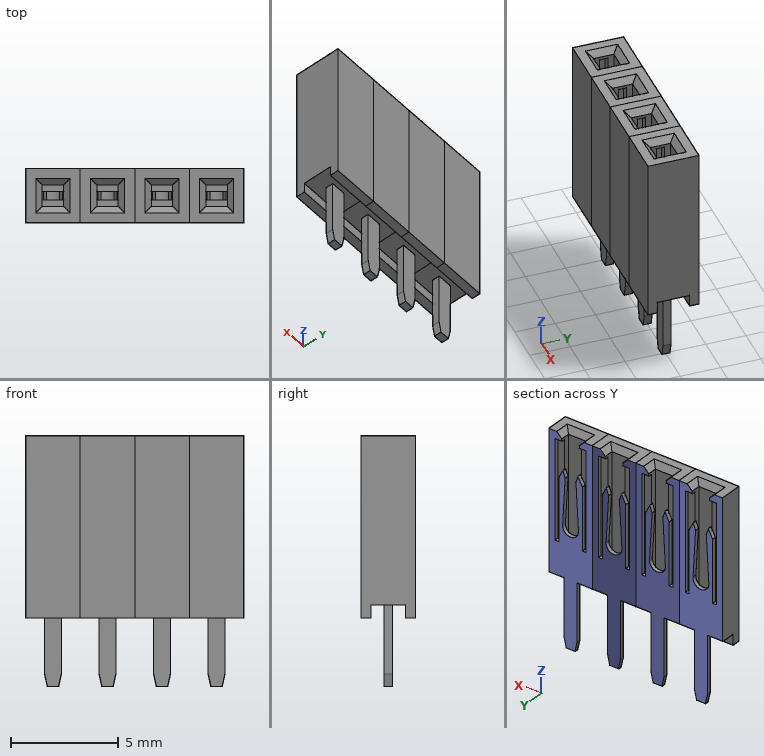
import cadquery as cq
import math


cell_count = 4
pitch = 2.54
block_height = 8.5
channel_width = 1.6
channel_depth = 0.6

socket_width = 1.0
lead_in = 0.3
mouth_width = socket_width + 2 * lead_in
socket_floor = 2.5
slot_half_length = 0.9
slot_drop = 0.15
slot_top = block_height - lead_in - slot_drop

contact_thickness = 0.4
fork_half_width = 0.7
fork_tip_x = 0.44
fork_tip_z = 6.5
throat_half_gap = 0.3
tip_inner_slope = math.radians(70)
tip_outer_slope = math.radians(62)
throat_z = fork_tip_z - (fork_tip_x - throat_half_gap) * math.tan(tip_inner_slope)
shoulder_z = fork_tip_z - (fork_half_width - fork_tip_x) * math.tan(tip_outer_slope)
root_radius = 0.45
root_web_height = 0.5
root_center_z = socket_floor + root_web_height + root_radius

pin_width = 0.8
pin_tip_width = 0.53
pin_length = 3.2
pin_taper_length = 0.6


def box(size_x, size_y, bottom, top):
    """Box centred on the cell axis between two heights."""
    return cq.Workplane("XY").workplane(offset=bottom).rect(size_x, size_y).extrude(top - bottom)


def make_block():
    block = box(pitch, pitch, 0, block_height)
    channel = box(pitch, channel_width, 0, channel_depth)
    socket = box(socket_width, socket_width, socket_floor, block_height)
    mouth = (
        cq.Workplane("XY").workplane(offset=block_height)
        .rect(mouth_width, mouth_width)
        .workplane(offset=-lead_in)
        .rect(socket_width, socket_width)
        .loft(ruled=True)
    )
    slot = box(2 * slot_half_length, contact_thickness, socket_floor, slot_top)
    return block.cut(channel).cut(socket).cut(mouth).cut(slot)


def make_fork():
    """Two tines joined by a round root, standing on the socket floor."""
    return (
        cq.Workplane("XZ")
        .moveTo(-fork_half_width, socket_floor)
        .lineTo(-fork_half_width, shoulder_z)
        .lineTo(-fork_tip_x, fork_tip_z)
        .lineTo(-throat_half_gap, throat_z)
        .lineTo(-root_radius, root_center_z)
        .threePointArc((0, root_center_z - root_radius), (root_radius, root_center_z))
        .lineTo(throat_half_gap, throat_z)
        .lineTo(fork_tip_x, fork_tip_z)
        .lineTo(fork_half_width, shoulder_z)
        .lineTo(fork_half_width, socket_floor)
        .close()
        .extrude(contact_thickness / 2, both=True)
    )


def make_pin():
    """Flat pin from the channel roof down to its tapered tip."""
    taper_start = -pin_length + pin_taper_length
    return (
        cq.Workplane("XZ")
        .moveTo(-pin_width / 2, channel_depth)
        .lineTo(-pin_width / 2, taper_start)
        .lineTo(-pin_tip_width / 2, -pin_length)
        .lineTo(pin_tip_width / 2, -pin_length)
        .lineTo(pin_width / 2, taper_start)
        .lineTo(pin_width / 2, channel_depth)
        .close()
        .extrude(contact_thickness / 2, both=True)
    )


def make_cell(center_x):
    cell = make_block().union(make_fork()).union(make_pin())
    return cell.translate((center_x, 0, 0))


first_cell_x = -(cell_count - 1) * pitch / 2
cells = [make_cell(first_cell_x + index * pitch) for index in range(cell_count)]

result = cq.Compound.makeCompound([cell.solids().val() for cell in cells])